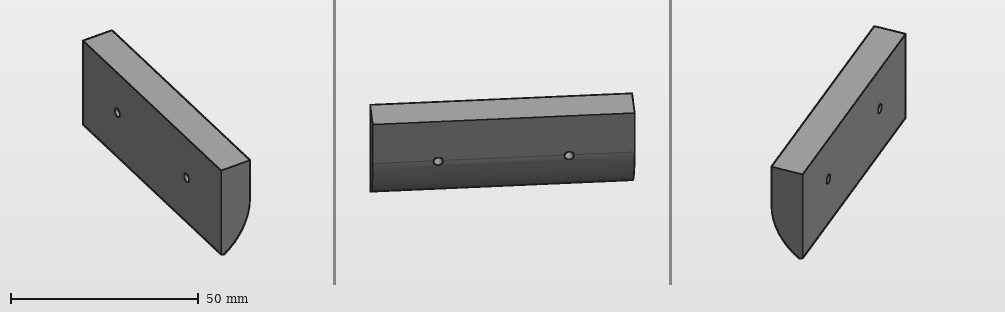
import cadquery as cq
import math

length = 70.0
thickness = 9.1
height = 27.9

back_radius = 2 * thickness
arc_end_depth = 0.85
bevel_height = 0.4

hole_diameter = 2.5
hole_spacing = length / 2
hole_drop = 13.0


def arc_point(angle):
    """Point (y, z) on the back arc, at an angle below the tangent point."""
    y = thickness - back_radius * (1 - math.cos(angle))
    z = arc_start_z - back_radius * math.sin(angle)
    return y, z


arc_angle = math.acos(1 - (thickness - arc_end_depth) / back_radius)
arc_start_z = back_radius * math.sin(arc_angle)

body = (
    cq.Workplane("YZ")
    .moveTo(0, bevel_height)
    .lineTo(0, height)
    .lineTo(thickness, height)
    .lineTo(thickness, arc_start_z)
    .threePointArc(arc_point(arc_angle / 2), arc_point(arc_angle))
    .close()
    .extrude(length / 2, both=True)
)

holes = (
    cq.Workplane("XZ")
    .pushPoints([(side * hole_spacing / 2, height - hole_drop) for side in (-1, 1)])
    .circle(hole_diameter / 2)
    .extrude(-thickness)
)

result = body.cut(holes)